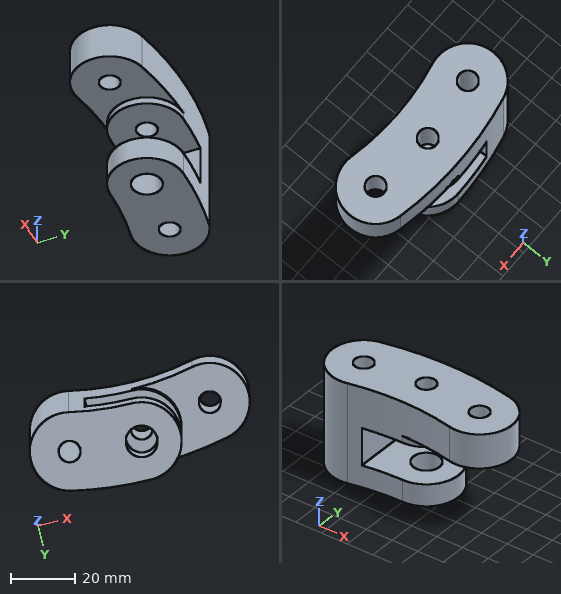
import cadquery as cq
import math

end_radius = 12.5
length = 70.1
height = 38.0
centre_rise = 2.45
hole_diameter = 6.8
arm_hole_diameter = 9.95

top_plate_thickness = 13.0
boss_height = 2.5
lower_arm_thickness = 8.4
slot_wall_x = -14.9

end_x = length / 2 - end_radius
path_radius = (end_x**2 + centre_rise**2) / (2 * centre_rise)
arc_centre_y = centre_rise - path_radius
end_angle = math.asin(end_x / path_radius)

plate_bottom = height - top_plate_thickness
slot_top = plate_bottom - boss_height


def path_point(radius, angle):
    """Point on a circle about the arc centre; angle is measured from +Y toward +X."""
    return (radius * math.sin(angle), arc_centre_y + radius * math.cos(angle))


def curved_link(start, stop, bottom, top):
    """Round-ended bar along the hole arc, between two angles and two heights."""
    outer = path_radius + end_radius
    inner = path_radius - end_radius
    middle = (start + stop) / 2
    start_x, start_y = path_point(path_radius, start)
    stop_x, stop_y = path_point(path_radius, stop)
    start_tip = (start_x - end_radius * math.cos(start), start_y + end_radius * math.sin(start))
    stop_tip = (stop_x + end_radius * math.cos(stop), stop_y - end_radius * math.sin(stop))
    return (
        cq.Workplane("XY", origin=(0, 0, bottom))
        .moveTo(*path_point(outer, start))
        .threePointArc(path_point(outer, middle), path_point(outer, stop))
        .threePointArc(stop_tip, path_point(inner, stop))
        .threePointArc(path_point(inner, middle), path_point(inner, start))
        .threePointArc(start_tip, path_point(outer, start))
        .close()
        .extrude(top - bottom)
    )


def vertical_hole(centre, diameter, bottom, top):
    return (
        cq.Workplane("XY", origin=(0, 0, bottom))
        .center(*centre)
        .circle(diameter / 2)
        .extrude(top - bottom)
    )


top_plate = curved_link(-end_angle, end_angle, plate_bottom, height)
body = curved_link(-end_angle, 0, 0, plate_bottom)

slot = cq.Workplane("XY").box(length, length, slot_top - lower_arm_thickness, centered=(False, True, False))
slot = slot.translate((slot_wall_x, 0, lower_arm_thickness))

result = top_plate.union(body).cut(slot)

for angle in (-end_angle, 0, end_angle):
    result = result.cut(vertical_hole(path_point(path_radius, angle), hole_diameter, 0, height))

result = result.cut(vertical_hole((0, centre_rise), arm_hole_diameter, 0, lower_arm_thickness))